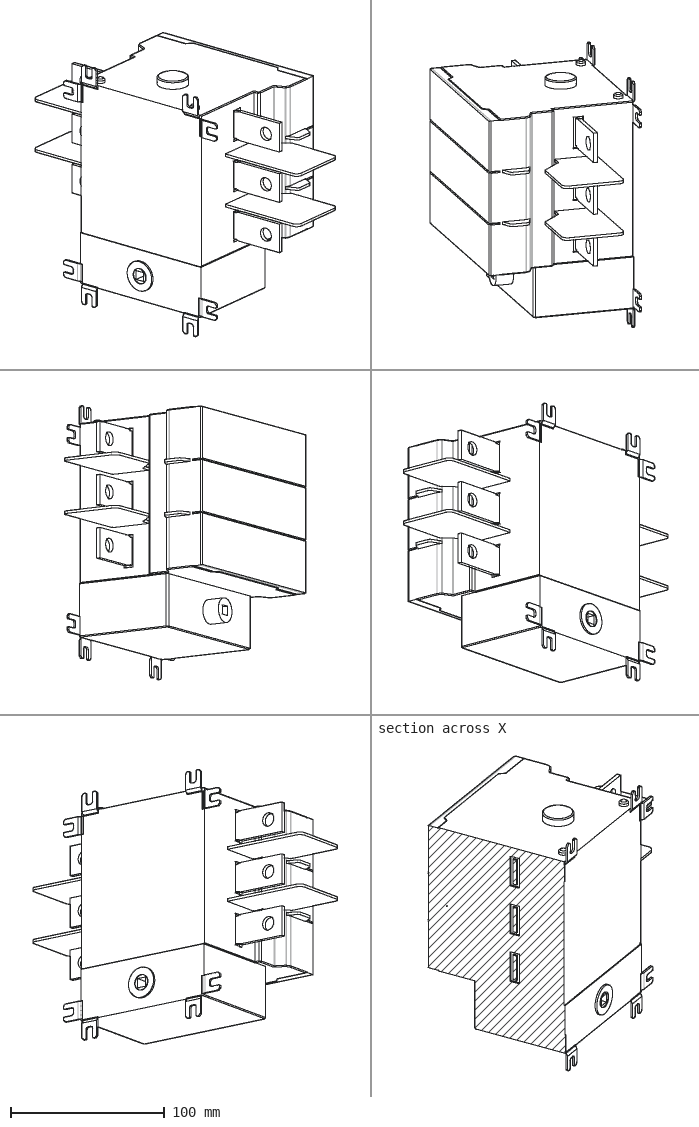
import cadquery as cq


overall_width = 220.01
overall_depth = 104.48
overall_height = 167.01

body_half_width = 50.0
body_height = 106.0
body_edge_chamfer = 0.7
waist_half_width = 54.0
waist_front_y = 56.6
waist_bevel_x = 1.0
waist_bevel_y = 1.4
wing_half_width = 62.5
wing_slope_start_y = 70.7
wing_slope_end_y = 74.0
wing_bevel_x = 1.3
wing_bevel_end_y = 77.2
wing_edge_radius = 0.7

cover_back_y = 102.5
seam_y = 95.2
raised_seam_y = 99.0
raised_seam_half_width = 35.3
seam_ramp_width = 3.3
cover_inset_z = 0.4
cover_bevel_y = 1.3
cover_bevel_depth_x = 0.7
cover_bevel_depth_z = 0.3
joint_depth = 0.6

pole_pitch = 35.2
middle_pole_z = body_height / 2
terminal_end_x = 86.1
terminal_height = 20.0
terminal_thickness = 2.8
terminal_y = 37.4
terminal_neck_inset = 0.8
terminal_neck_length = 2.5
terminal_hole_x = 75.0
terminal_hole_diameter = 9.0
slot_width = 6.8
slot_height = 21.5
slot_depth = 2.0

barrier_thickness = 1.8
barrier_front_y = 25.0
barrier_back_y = 67.2
barrier_neck_y = 53.4
barrier_neck_x = 57.3
barrier_slope_x = 71.3
barrier_corner_radius = 4.0

ear_half_width = 69.4
ear_back_y = 93.3
ear_straight_back_y = 89.5
ear_straight_front_y = 77.5
ear_side_front_y = 74.1
ear_corner_radius = 2.0

housing_height = 35.3
housing_front_y = -0.6
housing_back_y = 68.0
housing_back_chamfer = 1.4
shaft_z = -17.9
knob_diameter = 16.2
knob_end_y = 80.0
shaft_disc_diameter = 20.4
shaft_disc_front_y = -1.9
shaft_recess_diameter = 10.4
shaft_recess_depth = 0.5
shaft_square = 6.2

button_diameter = 20.6
button_y = 33.2
button_height = 5.4
button_chamfer = 0.8
screw_x = 39.1
screw_y = 6.5
screw_diameter = 6.2
screw_height = 2.7
screw_chamfer = 1.0

tab_width = 12.2
tab_slot_width = 5.3
tab_slot_depth = 8.2
tab_slot_radius = 1.7
tab_tip_chamfer = 1.4
tab_slot_mouth_chamfer = 0.5
tab_thickness = 1.38
tab_root_lift = 0.3
tab_bend_length = 2.0
end_tab_x = 42.1
top_tab_reach = 12.2
top_tab_bend_start = -2.0
top_tab_root_length = 0.6
bottom_tab_bend_start = 0.0
bottom_tab_root_length = 0.6
side_tab_reach = 13.5
side_tab_bend_start = -0.4
side_tab_root_length = 1.2
side_tab_upper_z = 97.4
side_tab_lower_z = -27.8
side_tab_face_y = -1.5

selection_margin = 0.1

end_tab_face_y = cover_back_y - overall_depth
bottom_tab_reach = overall_height - body_height - housing_height - top_tab_reach
pole_zs = [middle_pole_z + step * pole_pitch for step in (-1, 0, 1)]
barrier_zs = [middle_pole_z + step * pole_pitch for step in (-0.5, 0.5)]


def mirrored_outline(right_points):
    """Closed outline in XY from its right-hand points, mirrored about X = 0."""
    left_points = [(-x, y) for x, y in reversed(right_points)]
    return cq.Workplane("XY").polyline(right_points + left_points).close()


def both_sides(solid):
    return solid.union(solid.mirror("YZ"))


def square_box(x_range, y_range, z_range):
    """Box between the given lower and upper limits on each axis."""
    spans = [x_range, y_range, z_range]
    sizes = [high - low for low, high in spans]
    return cq.Workplane("XY").box(*sizes, centered=False).translate([low for low, high in spans])


def make_body():
    outline = mirrored_outline([
        (body_half_width, 0),
        (body_half_width, waist_front_y - waist_bevel_y),
        (waist_half_width - waist_bevel_x, waist_front_y - waist_bevel_y),
        (waist_half_width, waist_front_y),
        (waist_half_width, wing_slope_start_y),
        (wing_half_width - wing_bevel_x, wing_slope_end_y),
        (wing_half_width, wing_bevel_end_y),
        (wing_half_width, seam_y),
        (raised_seam_half_width + seam_ramp_width, seam_y),
        (raised_seam_half_width, raised_seam_y),
    ])
    body = outline.extrude(body_height)
    wing_edge_zone = cq.selectors.BoxSelector(
        (-overall_width, wing_slope_start_y - selection_margin, 0),
        (overall_width, wing_bevel_end_y + selection_margin, body_height))
    body = body.edges("|Z").edges(wing_edge_zone).fillet(wing_edge_radius)
    end_edges = body.faces("<Z or >Z").edges("not <Y")
    return end_edges.chamfer(body_edge_chamfer)


def make_cover():
    plan = mirrored_outline([
        (wing_half_width, seam_y),
        (wing_half_width, cover_back_y - cover_bevel_y),
        (wing_half_width - cover_bevel_depth_x, cover_back_y),
    ]).extrude(body_height)
    low_z = cover_inset_z
    high_z = body_height - cover_inset_z
    bevel_start_y = cover_back_y - cover_bevel_y
    side_profile = (
        cq.Workplane("YZ")
        .polyline([
            (seam_y, low_z),
            (bevel_start_y, low_z),
            (cover_back_y, low_z + cover_bevel_depth_z),
            (cover_back_y, high_z - cover_bevel_depth_z),
            (bevel_start_y, high_z),
            (seam_y, high_z),
        ])
        .close()
        .extrude(wing_half_width, both=True)
    )
    cover = plan.intersect(side_profile)
    for z in barrier_zs:
        cover = cover.cut(make_cover_joint(z))
    return cover


def make_cover_joint(z):
    """V groove across the back and both sides of the cover."""
    def groove_points(surface):
        return [(surface, z - joint_depth), (surface - joint_depth, z), (surface, z + joint_depth)]

    back = (
        cq.Workplane("YZ")
        .polyline(groove_points(cover_back_y))
        .close()
        .extrude(wing_half_width, both=True)
    )
    side = (
        cq.Workplane("XZ", origin=(0, seam_y, 0))
        .polyline(groove_points(wing_half_width))
        .close()
        .extrude(seam_y - cover_back_y)
    )
    return back.union(both_sides(side))


def make_ear(z):
    """Thin rounded plate sticking out of both wings."""
    ear = (
        mirrored_outline([
            (wing_half_width - wing_bevel_x, ear_side_front_y),
            (ear_half_width, ear_straight_front_y),
            (ear_half_width, ear_straight_back_y),
            (wing_half_width, ear_back_y),
        ])
        .extrude(barrier_thickness)
        .translate((0, 0, z - barrier_thickness / 2))
    )
    return ear.edges("|Z and (<X or >X)").fillet(ear_corner_radius)


def make_barrier(z):
    """Insulating plate between two poles, on both sides of the body."""
    plate = (
        mirrored_outline([
            (overall_width / 2, barrier_front_y),
            (overall_width / 2, barrier_back_y),
            (barrier_slope_x, barrier_back_y),
            (barrier_neck_x, barrier_neck_y),
        ])
        .extrude(barrier_thickness)
        .translate((0, 0, z - barrier_thickness / 2))
    )
    return plate.edges("|Z and (<X or >X)").fillet(barrier_corner_radius)


def make_terminal_slot(z):
    slot = square_box(
        (body_half_width - slot_depth, body_half_width),
        (terminal_y - slot_width / 2, terminal_y + slot_width / 2),
        (z - slot_height / 2, z + slot_height / 2))
    return both_sides(slot)


def make_terminal(z):
    """Flat bar with a bolt hole and a narrower neck where it enters the body."""
    half_height = terminal_height / 2
    neck_half_height = half_height - terminal_neck_inset
    neck_end_x = body_half_width + terminal_neck_length
    inner_x = body_half_width - slot_depth
    bar = (
        cq.Workplane("XZ", origin=(0, terminal_y, z))
        .polyline([
            (inner_x, -neck_half_height),
            (body_half_width, -neck_half_height),
            (neck_end_x, -half_height),
            (terminal_end_x, -half_height),
            (terminal_end_x, half_height),
            (neck_end_x, half_height),
            (body_half_width, neck_half_height),
            (inner_x, neck_half_height),
        ])
        .close()
        .moveTo(terminal_hole_x, 0)
        .circle(terminal_hole_diameter / 2)
        .extrude(terminal_thickness / 2, both=True)
    )
    return both_sides(bar)


def make_housing():
    outline = mirrored_outline([
        (body_half_width, housing_front_y),
        (body_half_width, housing_back_y - housing_back_chamfer),
        (body_half_width - housing_back_chamfer, housing_back_y),
    ])
    housing = outline.extrude(-housing_height)
    bottom_edges = housing.faces("<Z").edges("not <Y")
    return bottom_edges.chamfer(body_edge_chamfer)


def shaft_sketch(y):
    """Plane across the drive shaft at the given Y; a negative extrusion runs toward +Y."""
    return cq.Workplane("XZ", origin=(0, y, shaft_z))


def make_shaft():
    knob = shaft_sketch(housing_back_y).circle(knob_diameter / 2).extrude(housing_back_y - knob_end_y)
    disc = (
        shaft_sketch(shaft_disc_front_y)
        .circle(shaft_disc_diameter / 2)
        .extrude(shaft_disc_front_y - housing_front_y)
    )
    return knob.union(disc)


def make_shaft_hole():
    square = (
        shaft_sketch(shaft_disc_front_y)
        .rect(shaft_square, shaft_square)
        .extrude(shaft_disc_front_y - knob_end_y)
    )
    recess = (
        shaft_sketch(shaft_disc_front_y)
        .circle(shaft_recess_diameter / 2)
        .extrude(-shaft_recess_depth)
    )
    return square.union(recess)


def make_top_stud(x, y, diameter, height, chamfer):
    """Round stud on the top face with a bevelled rim."""
    stud = cq.Workplane("XY", origin=(x, y, body_height)).circle(diameter / 2).extrude(height)
    return stud.faces(">Z").chamfer(chamfer)


def make_tab(reach, face_y, seat_y, bend_start, root_length):
    """Slotted mounting tab pointing along +Z from a face edge at Z = 0, centred on X = 0.

    The root is set into the face at seat_y. From bend_start it slopes out to the slotted
    plate, whose front is at face_y.
    """
    root_end = bend_start - root_length
    root_face_y = seat_y - tab_root_lift
    tab = (
        cq.Workplane("YZ")
        .polyline([
            (tab_thickness, root_end),
            (root_face_y, root_end),
            (root_face_y, bend_start),
            (face_y, bend_start + tab_bend_length),
            (face_y, reach),
            (face_y + tab_thickness, reach),
            (face_y + tab_thickness, 0),
            (tab_thickness, 0),
        ])
        .close()
        .extrude(tab_width / 2, both=True)
    )
    tab = tab.edges("|Y and >Z").chamfer(tab_tip_chamfer)
    slot_centre_z = reach - tab_slot_depth / 2
    slot = (
        cq.Workplane("XY")
        .box(tab_slot_width, overall_depth, tab_slot_depth)
        .translate((0, 0, slot_centre_z))
        .edges("|Y and <Z")
        .fillet(tab_slot_radius)
    )
    tab = tab.cut(slot)
    mouth_half_width = tab_slot_width / 2
    mouth_zone = cq.selectors.BoxSelector(
        (-mouth_half_width - selection_margin, -overall_depth, slot_centre_z),
        (mouth_half_width + selection_margin, overall_depth, reach + selection_margin))
    return tab.faces(">Z").edges("|Y").edges(mouth_zone).chamfer(tab_slot_mouth_chamfer)


def make_tabs():
    origin = (0, 0, 0)
    y_axis = (0, 1, 0)
    half_turn = 180
    quarter_turn = 90
    top_tab = make_tab(
        top_tab_reach, end_tab_face_y, 0, top_tab_bend_start, top_tab_root_length)
    bottom_tab = make_tab(
        bottom_tab_reach, end_tab_face_y, housing_front_y, bottom_tab_bend_start, bottom_tab_root_length)

    right_tabs = top_tab.translate((end_tab_x, 0, body_height))
    right_tabs = right_tabs.union(
        bottom_tab.rotate(origin, y_axis, half_turn).translate((end_tab_x, 0, -housing_height)))
    for z, seat_y in ((side_tab_lower_z, housing_front_y), (side_tab_upper_z, 0)):
        side_tab = make_tab(
            side_tab_reach, side_tab_face_y, seat_y, side_tab_bend_start, side_tab_root_length)
        right_tabs = right_tabs.union(
            side_tab.rotate(origin, y_axis, quarter_turn).translate((body_half_width, 0, z)))
    return both_sides(right_tabs)


result = make_body().union(make_cover()).union(make_housing()).union(make_shaft())
for pole_z in pole_zs:
    result = result.cut(make_terminal_slot(pole_z)).union(make_terminal(pole_z))
for barrier_z in barrier_zs:
    result = result.union(make_barrier(barrier_z)).union(make_ear(barrier_z))
result = result.union(make_top_stud(0, button_y, button_diameter, button_height, button_chamfer))
for side in (-1, 1):
    result = result.union(
        make_top_stud(side * screw_x, screw_y, screw_diameter, screw_height, screw_chamfer))
result = result.union(make_tabs()).cut(make_shaft_hole())